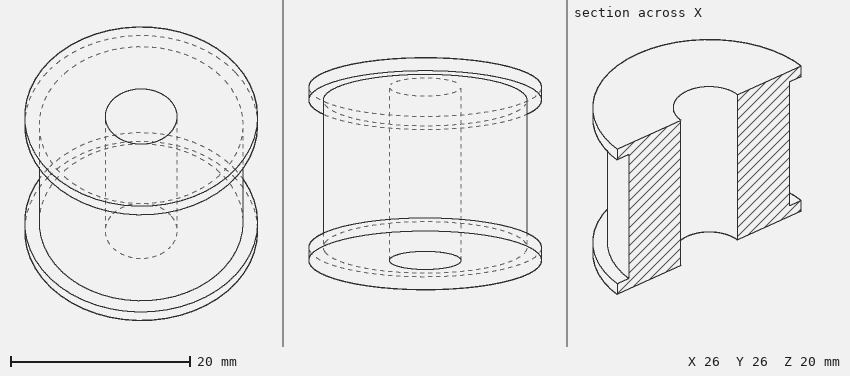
import cadquery as cq

flange_diameter = 26.0
core_diameter = 22.75
bore_diameter = 8.0
total_height = 20.0
flange_thickness = 1.5

core_height = total_height - 2 * flange_thickness


def disc(diameter, height, base_z):
    """Solid cylinder about the Z axis, standing on base_z."""
    return cq.Workplane("XY").workplane(offset=base_z).circle(diameter / 2).extrude(height)


bottom_flange = disc(flange_diameter, flange_thickness, 0)
core = disc(core_diameter, core_height, flange_thickness)
top_flange = disc(flange_diameter, flange_thickness, total_height - flange_thickness)
spool = bottom_flange.union(core).union(top_flange)

bore = disc(bore_diameter, total_height, 0)
result = spool.cut(bore)